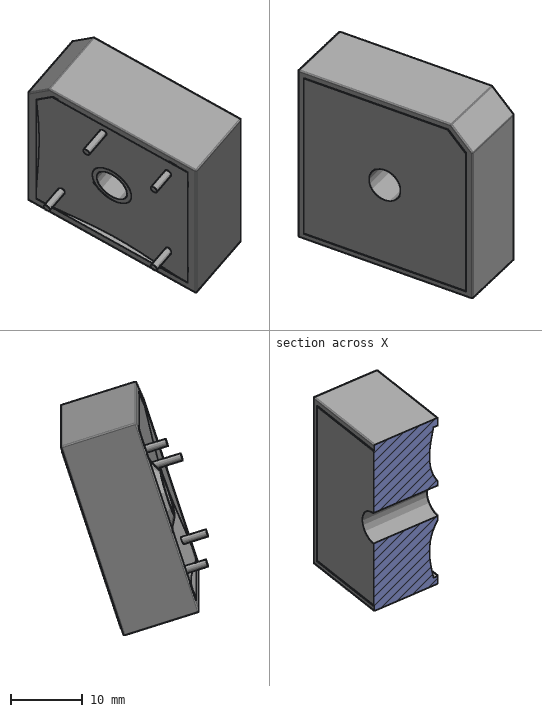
import cadquery as cq

case_side = 28.55
case_depth = 11.08
corner_cut = 3.57
edge_radius = 0.2

base_inset = 1.0
base_thickness = 0.1

rim_width = 1.43
boss_radius = 3.3
hole_radius = 2.57

trough_radius = 8.0
trough_depth = 1.43
shoulder_radius = 12.85
shoulder_depth = 0.75
trough_end_radius = 18.55
trough_end_depth = 0.05

pocket_reach = 2 * trough_depth

pin_radius = 0.55
pin_length = 2.83
pin_offset = 9.08
shifted_pin_x = -2.37


def cut_corner_prism(inset, start, depth):
    """Square prism along +Y from Y = start, with its -X +Z corner cut; inset shrinks the outline evenly."""
    half = case_side / 2
    outline = (
        cq.Workplane("XZ", origin=(0, start, 0))
        .moveTo(-half, -half)
        .lineTo(half, -half)
        .lineTo(half, half)
        .lineTo(corner_cut - half, half)
        .lineTo(-half, half - corner_cut)
        .close()
    )
    if inset > 0:
        outline = outline.offset2D(-inset, "intersection")
    return outline.extrude(-depth)


def cylinder(x, z, radius, start, end):
    """Round bar along Y between two Y positions."""
    return cq.Workplane("XZ", origin=(x, start, z)).circle(radius).extrude(start - end)


def dished_pocket():
    """Space above the potting: a revolved trough around the boss, trimmed to the rim."""
    trough = (
        cq.Workplane("XY")
        .moveTo(boss_radius, 0)
        .spline(
            [
                (trough_radius, trough_depth),
                (shoulder_radius, shoulder_depth),
                (trough_end_radius, trough_end_depth),
            ],
            includeCurrent=True,
        )
        .lineTo(trough_end_radius, 0)
        .close()
        .revolve(360, (0, 0, 0), (0, 1, 0))
    )
    return trough.intersect(cut_corner_prism(rim_width, 0, pocket_reach))


case = cut_corner_prism(0, 0, case_depth).edges().fillet(edge_radius)
base_plate = cut_corner_prism(base_inset, case_depth - edge_radius, edge_radius + base_thickness)
result = case.union(base_plate).cut(dished_pocket())

result = result.cut(cylinder(0, 0, hole_radius, 0, case_depth + base_thickness))

pin_places = [
    (shifted_pin_x, pin_offset),
    (pin_offset, pin_offset),
    (-pin_offset, -pin_offset),
    (pin_offset, -pin_offset),
]
for pin_x, pin_z in pin_places:
    result = result.union(cylinder(pin_x, pin_z, pin_radius, -pin_length, pocket_reach))